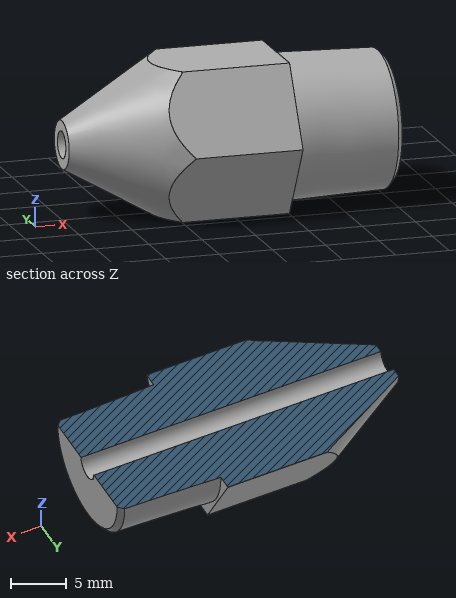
import cadquery as cq
import math

hex_sides = 6
across_flats = 14.0
across_corners = across_flats / math.cos(math.pi / hex_sides)
hex_length = 10.0

tip_diameter = 4.5
cone_half_angle = 30.0
cone_length = (across_corners - tip_diameter) / 2 / math.tan(math.radians(cone_half_angle))

shank_length = 10.0
gauge_diameter = 13.157
gauge_distance = 6.0
shank_taper = 1 / 16
shank_end_diameter = gauge_diameter - gauge_distance * shank_taper
shank_root_diameter = shank_end_diameter + shank_length * shank_taper
end_chamfer = 0.5

bore_diameter = 2.5

shoulder_x = cone_length + hex_length
total_length = shoulder_x + shank_length


def make_hex_body():
    """Hexagonal prism with flats facing +Z and -Z and corners on the Y axis."""
    return cq.Workplane("YZ").polygon(hex_sides, across_corners).extrude(shoulder_x)


def make_nose_envelope():
    """Cone widening to the hexagon's corners, followed by a cylinder."""
    corner_radius = across_corners / 2
    return (
        cq.Workplane("XZ")
        .moveTo(0, 0)
        .lineTo(0, tip_diameter / 2)
        .lineTo(cone_length, corner_radius)
        .lineTo(shoulder_x, corner_radius)
        .lineTo(shoulder_x, 0)
        .close()
        .revolve(360, (0, 0, 0), (1, 0, 0))
    )


def make_shank():
    """Shank tapering away from the hexagon, chamfered at its free end."""
    end_radius = shank_end_diameter / 2
    shank = (
        cq.Workplane("XZ")
        .moveTo(shoulder_x, 0)
        .lineTo(shoulder_x, shank_root_diameter / 2)
        .lineTo(total_length, end_radius)
        .lineTo(total_length, 0)
        .close()
        .revolve(360, (0, 0, 0), (1, 0, 0))
    )
    return shank.faces(">X").edges().chamfer(end_chamfer)


def make_bore():
    """Straight bore through the whole length."""
    return cq.Workplane("YZ").circle(bore_diameter / 2).extrude(total_length)


body = make_hex_body().intersect(make_nose_envelope())
result = body.union(make_shank()).cut(make_bore())